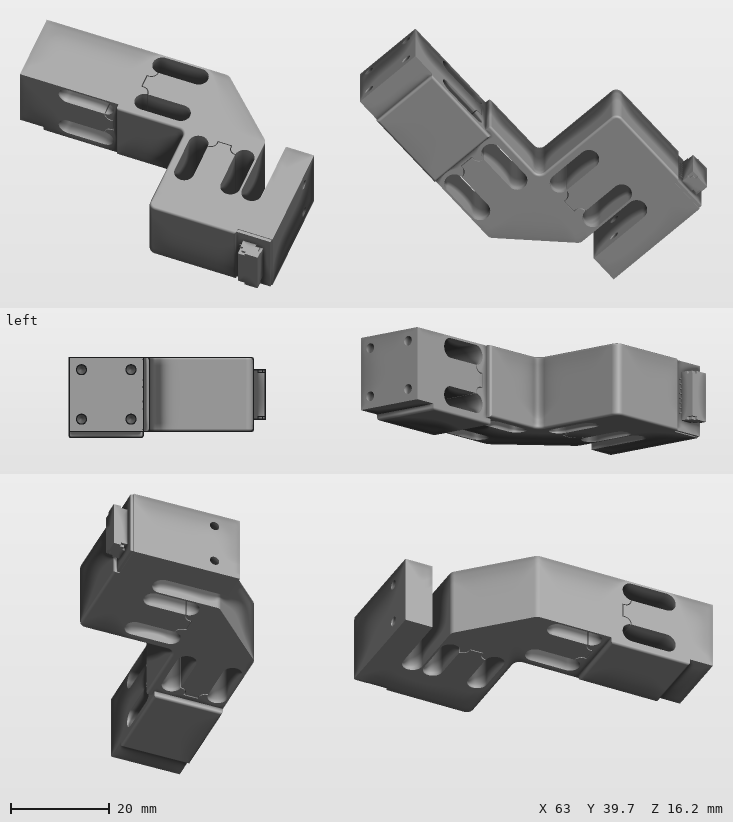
import cadquery as cq
import math


beam_size = 15.0
beam_middle = beam_size / 2
leg_left = 37.6
leg_right = leg_left + beam_size
body_length = 63.0
body_bottom = -21.05
bevel = 13.05
upright_gap = 4.3
upright_left = leg_right + upright_gap
upright_top = 2.15
corner_radius = 1.5

slot_length = 12.0
slot_wall = 0.45
slot_width = 4.1
slit_width = 0.2
slit_arc_radius = 1.4
slit_overlap = 0.1
rib_width = beam_size - 2 * (slot_wall + slot_width)
front_flexure_tip = 20.35
top_flexure_tip = 24.0
leg_flexure_tip = -1.5
gap_bottom = leg_flexure_tip - slot_length

hole_diameter = 2.0
arm_hole_spacing = 10.0
arm_hole_depth = 6.0
drill_point_angle = 118
upright_hole_y = -3.4
upright_hole_spacing = 9.0

cover_thickness = 1.25
cover_edge_radius = 0.5
cover_left = 21.4
cover_right = 55.45
lid_left = 5.1
lid_right = 22.9

board_thickness = 0.6
board_inset = 0.2
connector_width = 4.3
connector_depth = 3.0
connector_height = 10.1
connector_left = upright_left
connector_back = body_bottom - board_thickness
notch_length = 1.45
notch_strip = 0.55
notch_drop = 0.55
pin_count = 8
pin_pitch = 1.0
pin_length = 0.7
pin_size = 0.25


def block(x_range, y_range, z_range):
    """Box between the given pairs of coordinates."""
    (x0, x1), (y0, y1), (z0, z1) = x_range, y_range, z_range
    return cq.Workplane("XY").box(x1 - x0, y1 - y0, z1 - z0, centered=False).translate((x0, y0, z0))


def round_upright_corners(solid, points, radius):
    """Fillet the vertical edges passing through the given XY points."""
    for x, y in points:
        solid = solid.edges("|Z").edges(cq.NearestToPointSelector((x, y, beam_middle))).fillet(radius)
    return solid


def make_body():
    gap_radius = upright_gap / 2
    body = (
        cq.Workplane("XY")
        .lineTo(leg_left, 0)
        .lineTo(leg_left, body_bottom)
        .lineTo(body_length, body_bottom)
        .lineTo(body_length, upright_top)
        .lineTo(upright_left, upright_top)
        .lineTo(upright_left, gap_bottom + gap_radius)
        .threePointArc((leg_right + gap_radius, gap_bottom), (leg_right, gap_bottom + gap_radius))
        .lineTo(leg_right, beam_size - bevel)
        .lineTo(leg_right - bevel, beam_size)
        .lineTo(0, beam_size)
        .close()
        .extrude(beam_size)
    )
    corners = [
        (leg_left, 0),
        (leg_left, body_bottom),
        (leg_right, beam_size - bevel),
        (leg_right - bevel, beam_size),
    ]
    return round_upright_corners(body, corners, corner_radius)


def stop_block(plane, tip, arc_radius, arc_center):
    """Block with a flat tip, flaring through two quarter arcs into the slots beside the rib."""
    end = slot_width / 2 + slit_overlap
    half_rib = rib_width / 2
    neck = half_rib - arc_radius
    arc_mid = arc_radius * math.cos(math.pi / 4)
    arc_end = arc_center + arc_radius
    return (
        cq.Workplane(plane)
        .moveTo(tip, -neck)
        .lineTo(arc_center, -neck)
        .threePointArc((arc_center + arc_mid, -half_rib + arc_mid), (arc_end, -half_rib))
        .lineTo(arc_end, -half_rib - slit_overlap)
        .lineTo(end, -half_rib - slit_overlap)
        .lineTo(end, half_rib + slit_overlap)
        .lineTo(arc_end, half_rib + slit_overlap)
        .lineTo(arc_end, half_rib)
        .threePointArc((arc_center + arc_mid, half_rib - arc_mid), (arc_center, neck))
        .lineTo(tip, neck)
        .close()
        .extrude(beam_size)
    )


def flexure_cut(tip_point, toward_root, through):
    """Two slots and the stop slit between their tip ends, cut through the beam along `through`."""
    plane = cq.Plane(origin=tip_point, xDir=toward_root, normal=through)
    slot_offset = (rib_width + slot_width) / 2
    slots = (
        cq.Workplane(plane)
        .pushPoints([(slot_length / 2, slot_offset), (slot_length / 2, -slot_offset)])
        .slot2D(slot_length, slot_width)
        .extrude(beam_size)
    )
    inner_radius = slit_arc_radius + slit_width
    arc_center = slot_width / 2 - inner_radius
    slit = stop_block(plane, 0, slit_arc_radius, arc_center).cut(
        stop_block(plane, slit_width, inner_radius, arc_center)
    )
    return slots.union(slit)


def make_arm_holes():
    """Four blind drilled holes in the arm end face."""
    radius = hole_diameter / 2
    point_depth = radius / math.tan(math.radians(drill_point_angle / 2))
    hole = (
        cq.Workplane("XZ")
        .lineTo(arm_hole_depth + point_depth, 0)
        .lineTo(arm_hole_depth, radius)
        .lineTo(0, radius)
        .close()
        .revolve(360, (0, 0, 0), (1, 0, 0))
    )
    first = beam_middle - arm_hole_spacing / 2
    last = beam_middle + arm_hole_spacing / 2
    holes = cq.Workplane("XY")
    for y in (first, last):
        for z in (first, last):
            holes = holes.add(hole.translate((0, y, z)))
    return holes.combine()


def make_upright_holes():
    """Pair of holes running through the upright, one above the other."""
    offset = upright_hole_spacing / 2
    return (
        cq.Workplane("YZ", origin=(upright_left, upright_hole_y, beam_middle))
        .pushPoints([(0, offset), (0, -offset)])
        .circle(hole_diameter / 2)
        .extrude(body_length - upright_left)
    )


def make_side_cover():
    """Bent strip following the arm front, the leg side and the leg bottom."""
    outer_x = leg_left - cover_thickness
    outer_bottom = body_bottom - cover_thickness
    outline = [
        (cover_left, 0),
        (cover_left, -cover_thickness),
        (outer_x, -cover_thickness),
        (outer_x, outer_bottom),
        (cover_right, outer_bottom),
        (cover_right, body_bottom),
        (leg_left, body_bottom),
        (leg_left, 0),
    ]
    cover = cq.Workplane("XY").polyline(outline).close().extrude(beam_size)
    bends = [
        (outer_x, -cover_thickness),
        (outer_x, outer_bottom),
        (leg_left, body_bottom),
        (leg_left, 0),
    ]
    cover = round_upright_corners(cover, bends, corner_radius)
    arm_middle = (cover_left + outer_x) / 2
    rim_points = [
        (arm_middle, -cover_thickness, beam_size),
        (arm_middle, -cover_thickness, 0),
        (cover_left, -cover_thickness, beam_middle),
        (cover_right, outer_bottom, beam_middle),
    ]
    rim = [cover.edges(cq.NearestToPointSelector(point)).val() for point in rim_points]
    return cover.newObject(rim).fillet(cover_edge_radius)


def make_lid():
    """Plate under the arm with its lower rim rounded."""
    plate = block((lid_left, lid_right), (0, beam_size), (-cover_thickness, 0))
    return plate.faces("<Z").edges().fillet(cover_edge_radius)


def make_board():
    return block(
        (cover_right, body_length - board_inset),
        (connector_back, body_bottom),
        (board_inset, beam_size - board_inset),
    )


def make_connector():
    """Plug housing with an L-shaped notch in two opposite corners of each end."""
    x0, x1 = connector_left, connector_left + connector_width
    y0, y1 = connector_back - connector_depth, connector_back
    z0, z1 = beam_middle - connector_height / 2, beam_middle + connector_height / 2
    housing = block((x0, x1), (y0, y1), (z0, z1))
    for z_range in ((z0, z0 + notch_drop), (z1 - notch_drop, z1)):
        housing = housing.cut(block((x0, x0 + notch_strip), (y0, y0 + notch_length), z_range))
        housing = housing.cut(block((x0, x0 + notch_length), (y0, y0 + notch_strip), z_range))
        housing = housing.cut(block((x1 - notch_strip, x1), (y1 - notch_length, y1), z_range))
        housing = housing.cut(block((x1 - notch_length, x1), (y1 - notch_strip, y1), z_range))
    return housing


def make_pins():
    """Row of contacts lying on the board beside the housing."""
    return (
        cq.Workplane("XZ", origin=(connector_left - pin_length / 2, connector_back, beam_middle))
        .rarray(0.6, pin_pitch, 1, pin_count)
        .rect(pin_length, pin_size)
        .extrude(pin_size)
    )


result = make_body()
result = result.cut(flexure_cut((top_flexure_tip, beam_middle, 0), (1, 0, 0), (0, 0, 1)))
result = result.cut(flexure_cut((front_flexure_tip, 0, beam_middle), (-1, 0, 0), (0, 1, 0)))
result = result.cut(flexure_cut((leg_left + beam_middle, leg_flexure_tip, 0), (0, -1, 0), (0, 0, 1)))
result = result.cut(make_arm_holes())
result = result.cut(make_upright_holes())

for piece in (make_side_cover(), make_lid(), make_board(), make_connector(), make_pins()):
    result = result.union(piece)